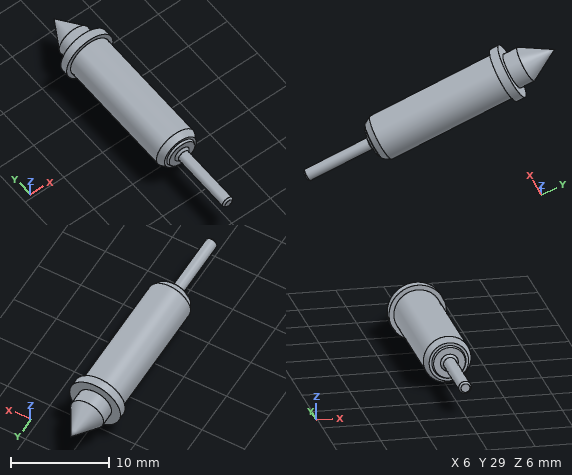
import cadquery as cq
import math

collar_diameter = 6.0

tip_radius = 1.95
collar_radius = collar_diameter / 2
body_radius = 2.5
body_end_radius = 2.05
plug_base_radius = 1.77
plug_face_radius = 1.65
pin_root_radius = 0.93
pin_radius = 0.67
pin_chamfer = 0.2

total_length = 29.0
tip_length = 5.0
collar_thickness = 1.0
body_length = 15.02
body_chamfer_length = 0.78
plug_length = 0.25
pin_root_length = 0.25
point_half_angle = math.radians(30)
cone_length = tip_radius / math.tan(point_half_angle)

collar_front = total_length - tip_length
collar_back = collar_front - collar_thickness
body_back = collar_back - body_length
plug_face = body_back - plug_length
pin_root = plug_face - pin_root_length

profile = [
    (0, total_length),
    (tip_radius, total_length - cone_length),
    (tip_radius, collar_front),
    (collar_radius, collar_front),
    (collar_radius, collar_back),
    (body_radius, collar_back),
    (body_radius, body_back + body_chamfer_length),
    (body_end_radius, body_back),
    (plug_base_radius, body_back),
    (plug_face_radius, plug_face),
    (pin_root_radius, plug_face),
    (pin_radius, pin_root),
    (pin_radius, pin_chamfer),
    (pin_radius - pin_chamfer, 0),
    (0, 0),
]

result = cq.Workplane("XY").polyline(profile).close().revolve(360, (0, 0, 0), (0, 1, 0))